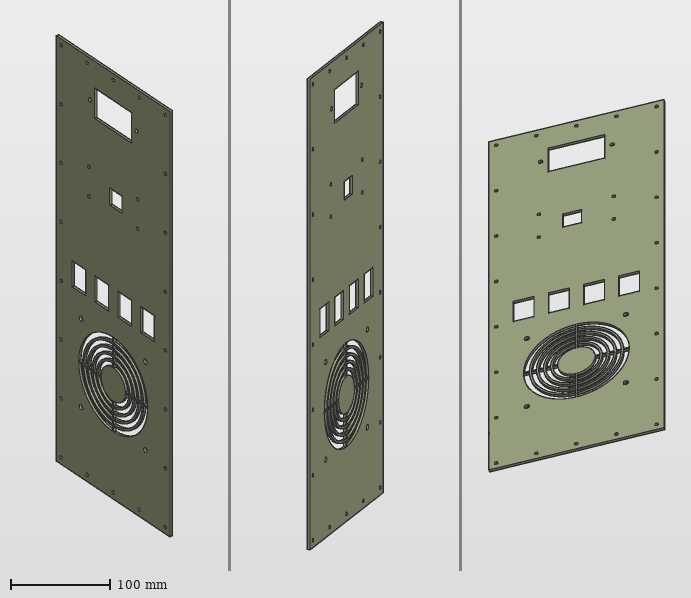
import cadquery as cq

WIDTH = 186.0
HEIGHT = 506.0
THICKNESS = 3.0
CORNER_RADIUS = 1.0

RIM_HOLE_DIAMETER = 3.5
RIM_HOLE_INSET = 8.0
RIM_SPACES_ACROSS = 4
RIM_SPACES_UP = 7

METER_Z = 203.0
METER_WIDTH = 60.0
METER_HEIGHT = 36.0
METER_HOLE_SPACING = 76.0
METER_HOLE_DIAMETER = 4.5

MODULE_Z = 105.0
MODULE_HOLE_SPACING_X = 79.5
MODULE_HOLE_SPACING_Z = 35.0
MODULE_HOLE_DIAMETER = 3.5
SQUARE_SIDE = 20.0
SQUARE_X = 4.5
SQUARE_Z = 104.0

SWITCH_COUNT = 4
SWITCH_PITCH = 37.3
SWITCH_Z = -17.7
SWITCH_WIDTH = 22.0
SWITCH_HEIGHT = 30.8

FAN_Z = -116.8
FAN_RADIUS = 56.0
FAN_HUB_RADIUS = 20.0
FAN_RING_COUNT = 4
FAN_FIRST_RING_RADIUS = 26.25
FAN_RING_PITCH = 7.5
FAN_RING_WIDTH = 2.5
FAN_SPOKE_WIDTH = 2.0
FAN_HOLE_SPACING = 105.0
FAN_HOLE_DIAMETER = 5.4


def front_plane():
    """Sketch plane on the front face, with local x along X and local y along Z."""
    return cq.Workplane("XZ", origin=(0, -THICKNESS / 2, 0))


def make_plate():
    plate = front_plane().rect(WIDTH, HEIGHT).extrude(-THICKNESS)
    return plate.edges("|Y").fillet(CORNER_RADIUS)


def round_cutter(points, diameter):
    return front_plane().pushPoints(points).circle(diameter / 2).extrude(-THICKNESS)


def window_cutter(points, width, height):
    return front_plane().pushPoints(points).rect(width, height).extrude(-THICKNESS)


def corner_points(spacing_x, spacing_z, center_z):
    """Corners of a rectangle centred on the plate's vertical centre line."""
    return [
        (side * spacing_x / 2, center_z + level * spacing_z / 2)
        for side in (-1, 1)
        for level in (-1, 1)
    ]


def rim_points():
    """Evenly spaced points along all four sides, corners counted once."""
    half_x = WIDTH / 2 - RIM_HOLE_INSET
    half_z = HEIGHT / 2 - RIM_HOLE_INSET
    step_x = 2 * half_x / RIM_SPACES_ACROSS
    step_z = 2 * half_z / RIM_SPACES_UP
    points = []
    for side in (-1, 1):
        for i in range(RIM_SPACES_UP + 1):
            points.append((side * half_x, -half_z + i * step_z))
        for i in range(1, RIM_SPACES_ACROSS):
            points.append((-half_x + i * step_x, side * half_z))
    return points


def switch_points():
    first_x = -SWITCH_PITCH * (SWITCH_COUNT - 1) / 2
    return [(first_x + i * SWITCH_PITCH, SWITCH_Z) for i in range(SWITCH_COUNT)]


def annulus(inner_radius, outer_radius):
    center = [(0, FAN_Z)]
    return round_cutter(center, 2 * outer_radius).cut(round_cutter(center, 2 * inner_radius))


def grille_cutter():
    slots = annulus(FAN_HUB_RADIUS, FAN_RADIUS)
    for i in range(FAN_RING_COUNT):
        middle_radius = FAN_FIRST_RING_RADIUS + i * FAN_RING_PITCH
        ring = annulus(middle_radius - FAN_RING_WIDTH / 2, middle_radius + FAN_RING_WIDTH / 2)
        slots = slots.cut(ring)

    center = [(0, FAN_Z)]
    upright_spoke = window_cutter(center, FAN_SPOKE_WIDTH, 2 * FAN_RADIUS)
    level_spoke = window_cutter(center, 2 * FAN_RADIUS, FAN_SPOKE_WIDTH)
    return slots.cut(upright_spoke).cut(level_spoke)


meter_holes = [(side * METER_HOLE_SPACING / 2, METER_Z) for side in (-1, 1)]
module_holes = corner_points(MODULE_HOLE_SPACING_X, MODULE_HOLE_SPACING_Z, MODULE_Z)
fan_holes = corner_points(FAN_HOLE_SPACING, FAN_HOLE_SPACING, FAN_Z)

result = make_plate()
result = result.cut(round_cutter(rim_points(), RIM_HOLE_DIAMETER))
result = result.cut(window_cutter([(0, METER_Z)], METER_WIDTH, METER_HEIGHT))
result = result.cut(window_cutter([(SQUARE_X, SQUARE_Z)], SQUARE_SIDE, SQUARE_SIDE))
result = result.cut(round_cutter(meter_holes, METER_HOLE_DIAMETER))
result = result.cut(round_cutter(module_holes, MODULE_HOLE_DIAMETER))
result = result.cut(window_cutter(switch_points(), SWITCH_WIDTH, SWITCH_HEIGHT))
result = result.cut(grille_cutter())
result = result.cut(round_cutter(fan_holes, FAN_HOLE_DIAMETER))